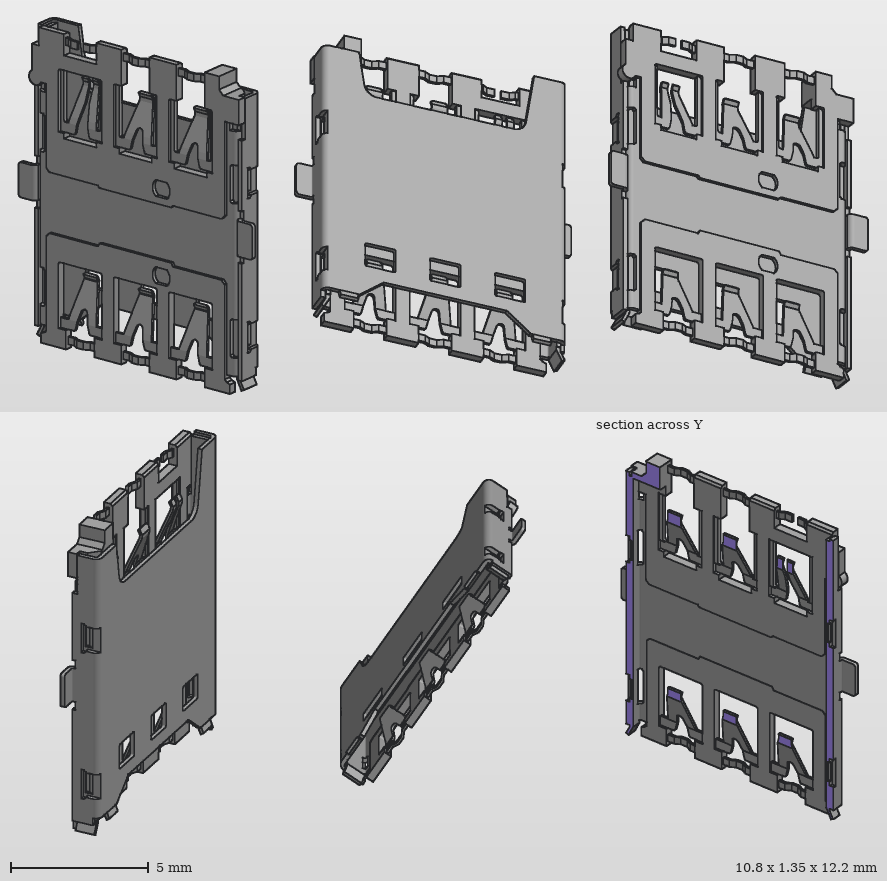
import cadquery as cq


total_width = 10.8
total_height = 12.2
total_depth = 1.35
top = total_height / 2
bottom = -top
front = -total_depth / 2
through = 2.44

sheet = 0.17
cover_half_width = 4.78
cover_back = 1.27
cover_radius = 0.26
cover_top = 6.06
cover_wall_bottom = -5.56
cover_plate_bottom = -5.27
cover_wall_edge = 0.17
shell_half_width = cover_half_width - sheet
shell_front = 0.12
shell_radius = 0.23
shell_wall_top = 5.97
shell_bottom = -5.44
lug_half_width = total_width / 2
lug_half_height = 0.68
lug_root = 0.29
wall_window_zs = (2.0, -3.98)

block_half_width = 4.12
upper_depth = 0.35
lower_depth = 0.3
ear_bottom_right = 4.4
ear_bottom_left = 3.99
ear_top = 5.39
right_wall_top = 5.34
shoulder_x = 3.87
shoulder = 0.2
pillar_depth = 1.04

contact_pitch = 2.55
contact_xs = (-contact_pitch, 0, contact_pitch)
contact_sheet = 0.1
contact_back = shell_front + contact_sheet
window_width = 2.0
upper_window_height = 2.44
lower_window_height = 2.57
recess_height = 0.21
window_bottom_upper = 2.26
window_bottom_lower = -5.35
window_corner = 0.09
base_height = 0.39
tip = 0.3
split_tip = 0.37
split_tail_gap = 0.13
upper_shoulder = 1.78
lower_shoulder = 1.9
gap_width = 1.3
first_gap_width = 1.5
first_gap_floor = 5.27
inner_window_width = 1.68
tail_height = 0.29
tail_slope = (0.37, 0.15)
first_tail_slope = (0.63, 0.44)
tail_inset = 0.17


def box(x0, x1, d0, d1, z0, z1):
    """Box between two X values, two depths and two heights."""
    solid = cq.Workplane("XY").box(x1 - x0, d1 - d0, z1 - z0, centered=False)
    return solid.translate((x0, front + d0, z0))


def face_plane(depth):
    """Sketch plane facing the front at a depth; its axes are X and Z."""
    return cq.Workplane("XZ", origin=(0, front + depth, 0))


def panel(points, d0, d1):
    """Closed XZ outline made solid between two depths."""
    return face_plane(d0).polyline(points).close().extrude(d0 - d1)


def both_sides(solid):
    return solid.union(solid.mirror("YZ"))


def channel(half_width, d0, d1, radius, z0, z1):
    """U-shaped sheet with its plate at d0 and its walls reaching d1."""
    def bar(half, start, bend):
        reach = 2 * radius
        body = box(-half, half, start, d1 + reach, z0, z1)
        body = body.edges("|Z").fillet(bend)
        return body.intersect(box(-half, half, start, d1, z0, z1))

    outer = bar(half_width, d0, radius)
    return outer.cut(bar(half_width - sheet, d0 + sheet, radius - sheet))


def make_inner_shell():
    wall_back = cover_back - sheet
    shell = channel(shell_half_width, shell_front, wall_back, shell_radius, shell_bottom, shell_wall_top)

    bend_inner = 4.27
    hidden_depth = 0.34
    shell = shell.cut(box(-shell_half_width, -bend_inner, 0, hidden_depth, 3.6, top))
    shell = shell.cut(box(bend_inner, shell_half_width, 0, hidden_depth, 4.06, top))
    shell = shell.cut(box(-bend_inner, bend_inner, 0, shell_front + sheet, ear_top, top))

    inner_wall_top = right_wall_top - 0.15
    shell = shell.cut(box(0, shell_half_width, 0, through, inner_wall_top, top))

    slot_length = 1.49
    slot_depth = 0.41
    for z in wall_window_zs:
        slot = box(-shell_half_width, -4.28, 0, slot_depth, z - slot_length / 2, z + slot_length / 2)
        slot = slot.edges("|Y and >X").chamfer(0.07)
        shell = shell.cut(both_sides(slot))

    dimple_length = 0.8
    dimple_depth = 0.11
    for z in wall_window_zs:
        wedge = [(0, 0.61), (dimple_depth, 0.61), (dimple_depth, 0.75), (0, 0.92)]
        points = [(across - shell_half_width, front + depth) for across, depth in wedge]
        dimple = cq.Workplane("XY", origin=(0, 0, z - dimple_length / 2)).polyline(points).close()
        shell = shell.cut(both_sides(dimple.extrude(dimple_length)))

    inner_face = shell_half_width - sheet
    lip_front = 0.3
    lip_back = 1.06
    lip = panel(
        [(-shell_half_width, shell_bottom), (-inner_face, shell_bottom), (-inner_face, cover_wall_bottom),
         (-4.66, -6.0), (-cover_half_width, -5.94), (-shell_half_width, -5.61)],
        lip_front, lip_back,
    )
    return shell.union(both_sides(lip))


def make_cover():
    cover = channel(cover_half_width, 0, cover_back - cover_wall_edge, cover_radius,
                    cover_wall_bottom, cover_top)
    cover = cover.rotate((0, 0, 0), (0, 0, 1), 180)
    cover = cover.translate((0, 2 * front + cover_back, 0))

    notch_floor = 3.54
    notch_foot = 2.73
    notch = (
        face_plane(0)
        .moveTo(-3.5, top).lineTo(-3.18, 4.0)
        .threePointArc((-3.04, 3.7), (-notch_foot, notch_floor))
        .lineTo(notch_foot, notch_floor)
        .threePointArc((3.04, 3.7), (3.18, 4.0))
        .lineTo(3.5, top).close().extrude(-through)
    )
    cover = cover.cut(notch)

    cover = cover.cut(box(0, cover_half_width, 0, through, right_wall_top, top))

    cover = cover.cut(panel(
        [(-3.33, bottom), (-3.33, -5.25), (-2.42, -4.5), (2.42, -4.5), (3.33, -5.25), (3.33, bottom)],
        0, through,
    ))
    bend_start = cover_back - cover_radius
    cover = cover.cut(box(-cover_half_width, cover_half_width, bend_start, through,
                          bottom, cover_plate_bottom))

    opening_half = 0.6
    for x in contact_xs:
        opening = box(x - opening_half, x + opening_half, 0, through, -3.95, -2.95)
        cover = cover.cut(opening.edges("|Y").fillet(0.07))

    ear_clearance = upper_depth + 0.02
    cover = cover.cut(box(-cover_half_width, cover_half_width, 0, ear_clearance, 3.76, top))
    relief_end = 1.01
    for z0, z1 in ((lug_half_height, relief_end), (-relief_end, -lug_half_height)):
        cover = cover.cut(box(-cover_half_width, cover_half_width, 0, lug_root, z0, z1))

    window_front = 0.54
    half = 0.5
    wide_half = 0.6
    for z in wall_window_zs:
        window = box(-cover_half_width, -shell_half_width, window_front, through, z - half, z + half)
        wide_end = box(-cover_half_width, -shell_half_width, window_front, 0.72, z - wide_half, z + wide_half)
        wide_end = wide_end.edges("|X and >Y").chamfer(0.07)
        cover = cover.cut(both_sides(window.union(wide_end)))

    lip_profile = [(cover_plate_bottom, cover_back - sheet), (cover_plate_bottom, cover_back),
                   (-5.51, total_depth), (-5.59, 1.25)]
    points = [(front + depth, z) for z, depth in lip_profile]
    lip_outer = 4.14
    lip_width = 0.7
    lip = cq.Workplane("YZ", origin=(-lip_outer, 0, 0)).polyline(points).close().extrude(lip_width)
    return cover.union(both_sides(lip))


def make_lug():
    """Solder lug bent outward from the cover wall."""
    bend = 0.21
    flat_start = shell_half_width + bend
    inner_bend = bend - sheet
    profile = (
        cq.Workplane("XY", origin=(0, 0, -lug_half_height))
        .moveTo(lug_half_width, front)
        .lineTo(flat_start, front)
        .radiusArc((shell_half_width, front + bend), bend)
        .lineTo(shell_half_width, front + lug_root)
        .lineTo(cover_half_width, front + lug_root)
        .lineTo(cover_half_width, front + bend)
        .radiusArc((flat_start, front + sheet), -inner_bend)
        .lineTo(lug_half_width, front + sheet)
        .close()
    )
    lug = profile.extrude(2 * lug_half_height)
    return lug.edges("|Y and >X").fillet(0.12)


def block_inner_edge(edge_z, step_z, corner_z):
    """Points of the stepped edge that a block turns to the middle of the part."""
    step_in = 1.66
    step_out = 1.73
    corner = 0.15
    half = [(-block_half_width, corner_z), (-block_half_width + corner, edge_z),
            (-step_out, edge_z), (-step_in, step_z)]
    return half + [(-x, z) for x, z in reversed(half)]


def right_shoulder():
    """Points from the top of the right ear up to the top edge."""
    return [(shoulder_x + shoulder, ear_top), (shoulder_x, ear_top + shoulder), (shoulder_x, top)]


def make_upper_block():
    bump_x = -4.62
    bump_z = 4.12
    bump_radius = 0.29
    edge = block_inner_edge(0.6, 0.51, 0.75)
    outline = [(-4.47, top), (-4.47, ear_top), (-cover_half_width, ear_top),
               (-cover_half_width, bump_z), (-4.45, ear_bottom_left),
               (-block_half_width, ear_bottom_left)]
    outline += edge
    outline += [(block_half_width, ear_bottom_right), (cover_half_width, ear_bottom_right),
                (cover_half_width, ear_top), *right_shoulder()]
    block = panel(outline, 0, upper_depth)
    block = block.faces(">Z").edges(">Y").chamfer(0.09)
    bump = face_plane(0).center(bump_x, bump_z).circle(bump_radius).extrude(-upper_depth)
    return block.union(bump)


def make_pillar():
    """Card stop behind the right ear, bevelled beside the cover wall."""
    left = contact_pitch + gap_width / 2
    right = 4.53
    bevel = 0.37
    base = 5.12
    outline = [(left, base), (right, base), (right, ear_top), *right_shoulder(), (left, top)]
    pillar = panel(outline, 0, pillar_depth)
    return pillar.edges("|Z and >X and >Y").chamfer(bevel)


def make_lower_block():
    foot_half_width = 4.37
    outline = [(-foot_half_width, bottom), (-foot_half_width, -5.73), (-4.22, -5.67),
               (-block_half_width, -5.59)]
    edge = block_inner_edge(-1.77, -1.63, -1.92)
    outline += edge + [(-x, z) for x, z in reversed(outline)]
    return panel(outline, 0, lower_depth)


def cut_slot(body, x, width, d0, d1, z0, z1):
    """Cut a rectangle centred on x between two depths and two heights."""
    return body.cut(box(x - width / 2, x + width / 2, d0, d1, z0, z1))


def cut_upper_window(body, x, gap, gap_floor):
    """Window with shell rails left beside the arm, a recess below and a gap above."""
    floor = window_bottom_upper
    base_top = floor + base_height
    window_top = floor + upper_window_height
    half = window_width / 2
    window = box(x - half, x + half, 0, shell_front, floor, window_top)
    body = body.cut(window.edges("|Y and >Z").fillet(window_corner))

    half = inner_window_width / 2
    opening = box(x - half, x + half, 0, through, base_top, window_top)
    body = body.cut(opening.edges("|Y and <Z").fillet(window_corner))

    rail_back = shell_front + sheet
    body = cut_slot(body, x, window_width, rail_back, through, base_top, window_top)
    body = cut_slot(body, x, window_width, 0, through, floor, base_top)
    body = cut_slot(body, x, first_gap_width, 0, through, floor - recess_height, floor)
    return cut_slot(body, x, gap, 0, through, gap_floor, top)


def cut_lower_window(body, x):
    floor = window_bottom_lower
    half = window_width / 2
    window = box(x - half, x + half, 0, through, floor, floor + lower_window_height)
    body = body.cut(window.edges("|Y and >Z").fillet(window_corner))
    return cut_slot(body, x, gap_width, 0, through, bottom, floor)


def cut_gate_pockets(body):
    """Round pockets with flat top and bottom, one in each block."""
    radius = 0.4
    depth = 0.16
    half_height = 0.32
    x = 1.2
    for z in (1.11, -2.27):
        pocket = face_plane(0).center(x, z).circle(radius).extrude(-depth)
        flats = box(x - radius, x + radius, 0, depth, z - half_height, z + half_height)
        body = body.cut(pocket.intersect(flats))
    return body


def make_spring(x, floor, shoulder_height, tip_half_width, split):
    """Contact: a flat base across the window and a tapered arm rising to the rear."""
    bend_z = floor + base_height
    arm_z = floor + 0.62
    shoulder_z = floor + shoulder_height
    tip_z = floor + 2.16
    crown_z = tip_z - 0.23
    tip_corner = 0.06
    root_half_width = 0.65
    half = window_width / 2

    front_line = [(floor, shell_front), (bend_z, shell_front), (arm_z, 0.2),
                  (shoulder_z, 0.63), (crown_z, 0.66), (tip_z - 0.07, 0.57)]
    rear_line = [(tip_z, 0.65), (crown_z, 0.76), (shoulder_z, 0.75),
                 (arm_z, 0.3), (bend_z, contact_back), (floor, contact_back)]
    points = [(front + depth, z) for z, depth in front_line + rear_line]
    strip = cq.Workplane("YZ", origin=(x - half, 0, 0)).polyline(points).close().extrude(window_width)

    right_edge = [(half, floor), (half, bend_z), (root_half_width, bend_z),
                  (tip_half_width, shoulder_z), (tip_half_width, tip_z - tip_corner),
                  (tip_half_width - tip_corner, tip_z)]
    outline = right_edge + [(-across, z) for across, z in reversed(right_edge)]
    arm = strip.intersect(panel([(x + across, z) for across, z in outline], 0, total_depth))

    foot = 0.37
    flare = 0.32
    knee_z = floor + 0.06
    if split:
        slot = 0.1
        edge = [(foot, floor), (flare, knee_z), (slot, floor + 1.22), (slot, tip_z)]
        outline = edge + [(-across, z) for across, z in reversed(edge)]
        notch = panel([(x + across, z) for across, z in outline], 0, total_depth)
    else:
        arch = 0.15
        arch_z = floor + 0.76
        notch = (
            face_plane(0)
            .moveTo(x - foot, floor).lineTo(x - flare, knee_z).lineTo(x - arch, arch_z)
            .threePointArc((x, arch_z + 0.11), (x + arch, arch_z))
            .lineTo(x + flare, knee_z).lineTo(x + foot, floor).close()
            .extrude(-total_depth)
        )
    return arm.cut(notch)


def make_tail(x, z0, half_width, slope_outer, slope_inner):
    """Solder tail bridging a gap, its middle stepped forward to the front face."""
    embed = 0.12
    end = half_width + embed
    back_edge = [(end, shell_front), (slope_outer, shell_front), (slope_inner, 0)]
    front_line = [(-across, depth) for across, depth in back_edge] + back_edge[::-1]
    rear_line = [(across, depth + contact_sheet) for across, depth in reversed(front_line)]
    points = [(x + across, front + depth) for across, depth in front_line + rear_line]
    return cq.Workplane("XY", origin=(0, 0, z0)).polyline(points).close().extrude(tail_height)


body = make_inner_shell()
body = body.union(make_upper_block()).union(make_lower_block())
for x in contact_xs:
    if x == contact_xs[0]:
        body = cut_upper_window(body, x, first_gap_width, first_gap_floor)
    else:
        body = cut_upper_window(body, x, gap_width, window_bottom_upper + upper_window_height)
    body = cut_lower_window(body, x)
body = cut_gate_pockets(body)
body = body.union(make_pillar())

for x in contact_xs:
    split = x == contact_xs[0]
    body = body.union(make_spring(x, window_bottom_upper, upper_shoulder, split_tip if split else tip, split))
    body = body.union(make_spring(x, window_bottom_lower, lower_shoulder, tip, False))

    top_tail_z = top - tail_inset - tail_height
    if split:
        tail = make_tail(x, top_tail_z, first_gap_width / 2, *first_tail_slope)
        tail = tail.cut(box(x - split_tail_gap, x + split_tail_gap, 0, total_depth, top_tail_z, top))
    else:
        tail = make_tail(x, top_tail_z, gap_width / 2, *tail_slope)
    body = body.union(tail)
    body = body.union(make_tail(x, bottom + tail_inset, gap_width / 2, *tail_slope))

result = body.union(make_cover()).union(both_sides(make_lug()))